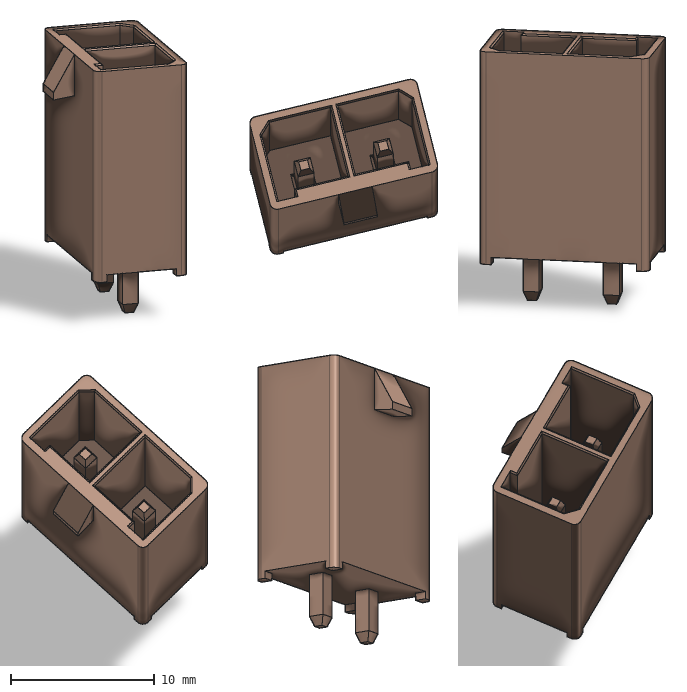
import cadquery as cq
import math


overall_width = 12.05
overall_depth = 8.35
overall_height = 18.5

latch_reach = 1.54
pin_stickout = 3.2
body_depth = overall_depth - latch_reach
body_height = overall_height - pin_stickout
corner_radius = 0.5
foot_size = 0.85
foot_height = 0.52

outer_wall = 0.5
divider = 0.3
ledge_wall = 1.04
key_slot_wall = 0.55
key_slot_width = 1.52
cavity_bevel = 0.83
rim_flare = 0.11
cavity_floor = 5.55

pin_pitch = 5.7
pin_width = 1.15
pin_tip_width = 0.63
pin_tip_length = 0.7
pin_top = 11.47
pin_seat_width = 1.55

latch_width = 2.4
latch_ramp_height = 2.63
latch_nose_height = 0.55
latch_root_height = 3.0


def make_shell():
    """Solid housing block standing on four corner feet."""
    shell = cq.Workplane("XY").box(overall_width, body_depth, body_height, centered=(True, True, False))
    shell = shell.edges("|Z").fillet(corner_radius)
    inner_width = overall_width - 2 * foot_size
    inner_depth = body_depth - 2 * foot_size
    for width, depth in ((inner_width, body_depth), (overall_width, inner_depth)):
        relief = cq.Workplane("XY").box(width, depth, foot_height, centered=(True, True, False))
        shell = shell.cut(relief)
    return shell


def cavity_outline(z, inset, slot_front):
    """Outline of the +X cavity, moved inwards by inset everywhere but at the front of the key slot."""
    bevel_legs = cavity_bevel - inset * (2 - math.sqrt(2))
    left = divider / 2 + inset
    right = overall_width / 2 - outer_wall - inset
    back = body_depth / 2 - outer_wall - inset
    ledge = -body_depth / 2 + ledge_wall + inset
    slot_side = overall_width / 2 - outer_wall - key_slot_width + inset
    points = [
        (left, back),
        (right - bevel_legs, back),
        (right, back - bevel_legs),
        (right, slot_front),
        (slot_side, slot_front),
        (slot_side, ledge),
        (left, ledge),
    ]
    return cq.Workplane("XY").workplane(offset=z).polyline(points).close()


def make_cavity():
    """Space of the +X cavity: straight walls with a 45 degree flare at the rim."""
    slot_front = -body_depth / 2 + key_slot_wall
    straight = cavity_outline(cavity_floor, rim_flare, slot_front).extrude(body_height - cavity_floor)
    lower = cavity_outline(body_height - rim_flare, rim_flare, slot_front).wires().val()
    upper = cavity_outline(body_height, 0, slot_front).wires().val()
    flare = cq.Workplane(cq.Solid.makeLoft([lower, upper], True))
    return straight.union(flare)


def frustum(z, width, height, end_width):
    """Square pyramid stump that rises (or drops, for a negative height) from z."""
    return (
        cq.Workplane("XY").workplane(offset=z).rect(width, width)
        .workplane(offset=height).rect(end_width, end_width)
        .loft(ruled=True)
    )


def make_pin_seat():
    """Funnel in the cavity floor that narrows to the pin."""
    depth = (pin_seat_width - pin_width) / 2
    return frustum(cavity_floor, pin_seat_width, -depth, pin_width)


def make_pin():
    """Square pin with a tapered tip at both ends."""
    shank_bottom = -pin_stickout + pin_tip_length
    shank_top = pin_top - pin_tip_length
    shank = cq.Workplane("XY").workplane(offset=shank_bottom).rect(pin_width, pin_width)
    pin = shank.extrude(shank_top - shank_bottom)
    pin = pin.union(frustum(shank_top, pin_width, pin_tip_length, pin_tip_width))
    return pin.union(frustum(shank_bottom, pin_width, -pin_tip_length, pin_tip_width))


def make_latch():
    """Ramped latch on the front wall, rooted inside that wall."""
    front = -body_depth / 2
    root = front + outer_wall / 2
    nose = front - latch_reach
    ramp_end = body_height - latch_ramp_height
    underside = body_height - latch_root_height
    profile = [
        (root, body_height),
        (front, body_height),
        (nose, ramp_end),
        (nose, ramp_end - latch_nose_height),
        (front, underside),
        (root, underside),
    ]
    return cq.Workplane("YZ").polyline(profile).close().extrude(latch_width / 2, both=True)


cavity = make_cavity()
result = make_shell().cut(cavity).cut(cavity.mirror("YZ"))
for pin_x in (-pin_pitch / 2, pin_pitch / 2):
    result = result.cut(make_pin_seat().translate((pin_x, 0, 0)))
    result = result.union(make_pin().translate((pin_x, 0, 0)))
result = result.union(make_latch())